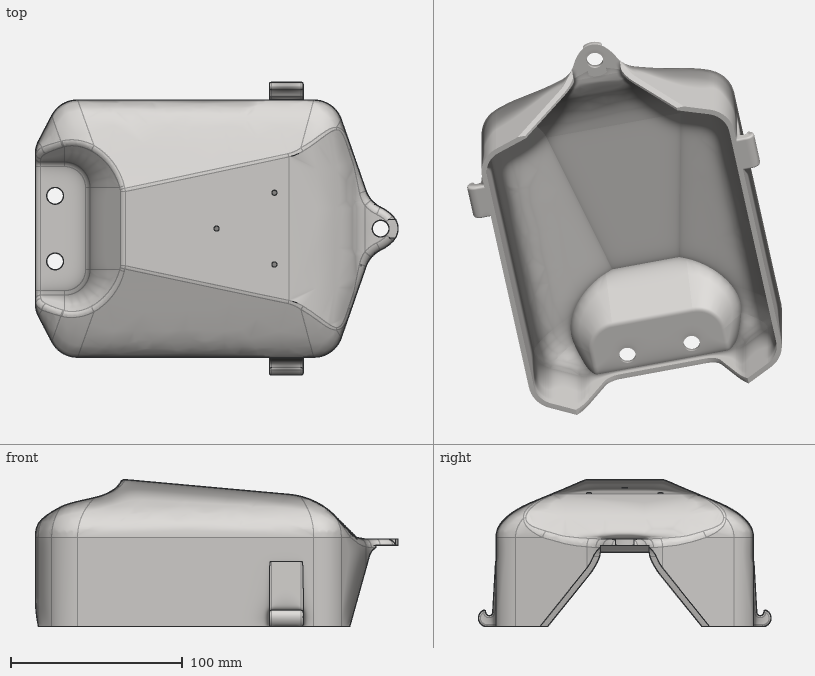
import cadquery as cq
import math


wall = 3.0
half_width = 75.0
shoulder_z = 52.0
corner_radius = 17.0
rear_radius_loss = 0.25
front_edge_radius = 15.0
apex_half = 4.0
front_flat_half = 47.5
front_slope = 0.52
rear_corner_x = 174.3
rear_slope = 0.348
front_inset_ratio = 0.78
front_narrowing = 0.75
front_corner_miter = (math.hypot(1, front_slope) - 1) / front_slope
rear_inset_ratio = 0.75

curve_inset = 24.3
curve_rise = 22.0
slope_angle = 21.8
slope_inset = 34.0
curve_steps = 4
slope_steps = 1
wall_pull = 10.5
slope_pull = 13.0
crest_fillet = 5.0

roof_front = (51.0, 85.9)
roof_rear = (147.7, 77.2)
roof_fall = (roof_front[1] - roof_rear[1]) / (roof_rear[0] - roof_front[0])
crest_half = 31.0
rear_slope_points = [(164.5, 72.2), (174.6, 64.6), (180.0, 58.2), (184.8, 53.7)]
tab_start_x = 192.0
tab_top = 51.2
tab_bottom = 47.4

overall_length = 211.42
hole_diameter = 9.6
tab_hole_x = 201.2
tab_radius = overall_length - tab_hole_x
tab_flat_half = 5.4
cove_start_y = 22.0
cove_end = (201.0, 12.8)
nose_start = (208.5, 7.5)
nose_middle = (210.6, 4.0)

pocket_length = 31.0
pocket_half_width = 37.9
pocket_radius = 14.0
pocket_draft = 30.0
draft = math.radians(pocket_draft)
pocket_top = 88.0
pocket_overrun = 60.0
floor_fillet = 3.0
rim_fillet = 3.0
floor_hole_x = 11.5
floor_hole_y = 19.1

arch_bottom_half = 51.0
arch_top_half = 32.0
arch_top = 43.3
arch_radius = 10.0
arch_depth = 12.0
rear_gap = [(45.0, 0.0), (20.8, 30.0)]
rear_gap_curve = [(15.8, 38.0), (14.2, 44.0)]
rear_gap_start_x = 165.0
underside = [(183.2, 0.0), (194.6, 41.0)]
underside_end_x = 202.0

screw_diameter = 3.0
screw_depth = 2.0
screw_places = [(105.6, 0.0), (139.3, 20.9), (139.3, -20.9)]

hook_start_x = 136.3
hook_width = 19.8
hook_reach = 85.3
hook_pad_top = 38.0
hook_edge_fillet = 1.2
hook_root_depth = 0.9 * wall
hook_radius = 5.0
lip_radius = 1.0
lip_start_angle = math.radians(115)
groove = (-79.0, 8.5)
pad_top_thickness = 0.3

blank = 400.0


def rear_wall_x(y):
    return rear_corner_x + (half_width - y) * rear_slope


def unit(start, end):
    length = math.dist(start, end)
    return ((end[0] - start[0]) / length, (end[1] - start[1]) / length)


def on_circle(center, radius, angle):
    return (center[0] + radius * math.cos(angle), center[1] + radius * math.sin(angle))


def rounded_corner(before, corner, after, radius):
    """Start, middle and end of the arc that rounds a convex corner."""
    back = unit(corner, before)
    ahead = unit(corner, after)
    half_angle = math.acos(back[0] * ahead[0] + back[1] * ahead[1]) / 2
    tangent = radius / math.tan(half_angle)
    to_arc = radius / math.sin(half_angle) - radius
    inwards = unit((0, 0), (back[0] + ahead[0], back[1] + ahead[1]))
    return [
        (corner[0] + back[0] * tangent, corner[1] + back[1] * tangent),
        (corner[0] + inwards[0] * to_arc, corner[1] + inwards[1] * to_arc),
        (corner[0] + ahead[0] * tangent, corner[1] + ahead[1] * tangent),
    ]


def outline(inset, z, clearance=0.0):
    """Closed plan outline of the body at height z, drawn in by inset and clearance."""
    width = half_width - inset - clearance
    narrowing = front_narrowing * inset + clearance * front_corner_miter
    front_y = front_flat_half - narrowing
    oblique_shift = (front_inset_ratio * inset + clearance) * math.hypot(1, front_slope)
    front_x = oblique_shift - narrowing * front_slope
    front_end_x = oblique_shift + (width - front_flat_half) * front_slope
    rear_shift = (rear_inset_ratio * inset + clearance) * math.hypot(1, rear_slope)
    rear_start_x = rear_wall_x(width) - rear_shift
    rear_radius = corner_radius - clearance - rear_radius_loss * inset
    apex_x = rear_wall_x(apex_half) - rear_shift

    front = (front_x, front_y)
    front_end = (front_end_x, width)
    rear_start = (rear_start_x, width)
    apex = (apex_x, apex_half)
    arcs = [
        rounded_corner((front_x, 0), front, front_end, front_edge_radius - clearance),
        rounded_corner(front, front_end, rear_start, corner_radius - clearance),
        rounded_corner(front_end, rear_start, apex, rear_radius),
    ]
    mirrored_arcs = [[(x, -y) for x, y in reversed(arc)] for arc in reversed(arcs)]

    path = cq.Workplane("XY", origin=(0, 0, z)).moveTo(front_x, 0)
    for start, middle, end in arcs:
        path = path.lineTo(*start).threePointArc(middle, end)
    path = path.lineTo(*apex).lineTo(apex_x, -apex_half)
    for start, middle, end in mirrored_arcs:
        path = path.lineTo(*start).threePointArc(middle, end)
    return path.close()


def dome_profile():
    """Pairs of inset and rise from the shoulder up to the top of the dome."""
    tilt = math.radians(slope_angle)
    handle = (
        curve_inset - slope_pull * math.cos(tilt),
        curve_rise - slope_pull * math.sin(tilt),
    )
    profile = []
    for step in range(curve_steps + 1):
        t = step / curve_steps
        s = 1 - t
        inset = 3 * s * t * t * handle[0] + t**3 * curve_inset
        rise = 3 * s * s * t * wall_pull + 3 * s * t * t * handle[1] + t**3 * curve_rise
        profile.append((inset, rise))
    for step in range(1, slope_steps + 1):
        run = slope_inset * step / slope_steps
        profile.append((curve_inset + run, curve_rise + run * math.tan(tilt)))
    return profile


def dome(base_z, clearance=0.0):
    wires = [
        outline(inset, base_z + rise, clearance).wire().val()
        for inset, rise in dome_profile()
    ]
    return cq.Workplane(cq.Solid.makeLoft(wires))


def below_roof():
    """Everything under the sloped roof, the rear slope and the tab."""
    start_x = -10.0
    base_z = -10.0
    start_z = roof_front[1] - (start_x - roof_front[0]) * roof_fall
    return (
        cq.Workplane("XZ", origin=(0, blank / 2, 0))
        .moveTo(start_x, base_z)
        .lineTo(start_x, start_z)
        .lineTo(*roof_rear)
        .spline(
            rear_slope_points + [(tab_start_x, tab_top)],
            tangents=[(1, -roof_fall), (1, 0)],
            includeCurrent=True,
        )
        .lineTo(blank, tab_top)
        .lineTo(blank, base_z)
        .close()
        .extrude(blank)
    )


def tab():
    """Rear tongue around the hanging hole, coved into the oblique rear walls."""
    cove_start = (rear_wall_x(cove_start_y), cove_start_y)
    inner_x = 170.0
    root_y = 40.0
    half = (
        cq.Workplane("XY")
        .moveTo(inner_x, 0)
        .lineTo(inner_x, root_y)
        .lineTo(rear_wall_x(root_y), root_y)
        .lineTo(*cove_start)
        .tangentArcPoint(cove_end, relative=False)
        .tangentArcPoint(nose_start, relative=False)
        .threePointArc(nose_middle, (overall_length, 0))
        .close()
        .extrude(shoulder_z)
    )
    return half.union(half.mirror("XZ"))


def tab_flat():
    """Full-thickness strip around the hanging hole that keeps a square nose."""
    thickness = tab_top - tab_bottom
    base = cq.Workplane("XY", origin=(tab_hole_x, 0, tab_bottom))
    disc = base.circle(tab_radius).extrude(thickness)
    strip = base.rect(2 * tab_radius, 2 * tab_flat_half).extrude(thickness)
    return disc.intersect(strip)


def pocket(grow=0.0, floor_z=shoulder_z):
    """Drafted pocket, open at the front, widening upwards from a rounded floor edge."""
    length = pocket_length + grow + pocket_overrun
    width = 2 * (pocket_half_width + grow)
    plan = (
        cq.Sketch()
        .push([(pocket_length + grow - length / 2, 0)])
        .rect(length, width)
        .reset()
        .vertices()
        .fillet(pocket_radius + grow)
    )
    return (
        cq.Workplane("XY", origin=(0, 0, floor_z))
        .placeSketch(plan)
        .extrude(pocket_top - floor_z, taper=-pocket_draft)
        .faces("<Z")
        .edges()
        .fillet(floor_fillet)
    )


def cavity():
    """Hollow under the shell, keeping a wall below the roof and around the pocket."""
    inner_roof = below_roof().translate((-wall / 2, 0, -wall))
    floor_grow = wall / math.cos(draft) - wall * math.tan(draft)
    inner_shoulder = shoulder_z - wall
    return (
        outline(0, 0, wall)
        .extrude(inner_shoulder)
        .union(dome(inner_shoulder, wall))
        .intersect(inner_roof)
        .cut(pocket(floor_grow, inner_shoulder))
    )


def front_arch():
    """Opening through the front wall, with rounded upper corners."""
    return (
        cq.Workplane("YZ", origin=(-1, 0, 0))
        .polyline(
            [
                (-arch_bottom_half, 0),
                (-arch_top_half, arch_top),
                (arch_top_half, arch_top),
                (arch_bottom_half, 0),
            ]
        )
        .close()
        .extrude(arch_depth)
        .edges("|X and >Z")
        .fillet(arch_radius)
    )


def rear_opening():
    """Opening through the rear walls that also clears the underside of the tab."""
    bottom, bend = rear_gap
    bend_slope = (bend[0] - bottom[0], bend[1] - bottom[1])
    wide = 60.0
    half_profile = (
        cq.Workplane("YZ", origin=(rear_gap_start_x, 0, 0))
        .lineTo(*bottom)
        .lineTo(*bend)
        .spline(rear_gap_curve, tangents=[bend_slope, (0, 1)], includeCurrent=True)
        .lineTo(rear_gap_curve[-1][0], tab_bottom)
        .lineTo(0, tab_bottom)
        .close()
        .extrude(wide)
    )
    below_tab = (
        cq.Workplane("XZ", origin=(0, wide, 0))
        .moveTo(*underside[0])
        .lineTo(*underside[1])
        .tangentArcPoint((underside_end_x, tab_bottom), relative=False)
        .lineTo(blank, tab_bottom)
        .lineTo(blank, underside[0][1])
        .close()
        .extrude(2 * wide)
    )
    return half_profile.union(half_profile.mirror("XZ")).union(below_tab)


def hook():
    """Side hook on the -Y wall: a thin tapered pad ending in an upturned lip."""
    root_y = half_width - hook_root_depth
    heel = (hook_radius - hook_reach, hook_radius)
    pad_top = (-half_width - pad_top_thickness, hook_pad_top)
    lip_start = on_circle(heel, hook_radius, lip_start_angle)
    lip = on_circle(heel, hook_radius - lip_radius, lip_start_angle)
    groove_radius = math.dist(groove, lip) - lip_radius
    lip_end_angle = math.atan2(groove[1] - lip[1], groove[0] - lip[0])
    lip_middle = on_circle(lip, lip_radius, (lip_start_angle + lip_end_angle) / 2)
    lip_end = on_circle(lip, lip_radius, lip_end_angle)
    pad_angle = math.atan2(
        pad_top[0] - groove[0] - groove_radius, pad_top[1] - groove[1]
    )
    groove_end = on_circle(groove, groove_radius, -pad_angle)
    return (
        cq.Workplane("YZ", origin=(hook_start_x, 0, 0))
        .moveTo(-root_y, 0)
        .lineTo(heel[0], 0)
        .threePointArc((-hook_reach, hook_radius), lip_start)
        .threePointArc(lip_middle, lip_end)
        .threePointArc((groove[0], groove[1] - groove_radius), groove_end)
        .lineTo(*pad_top)
        .lineTo(-root_y, hook_pad_top)
        .close()
        .extrude(hook_width)
        .faces("<X or >X")
        .edges("not >Y")
        .fillet(hook_edge_fillet)
    )


def fillet_chain(body, points, radius):
    """Fillet the smooth edge chains that pass closest to the points."""
    chosen = [body.edges(cq.selectors.NearestToPointSelector(p)).val() for p in points]
    return body.newObject(chosen).fillet(radius)


def outer_block():
    """Solid outside shape with its crest rounded and the pocket cut in."""
    block = outline(0, 0).extrude(shoulder_z).union(dome(shoulder_z)).union(tab())
    block = block.intersect(below_roof())
    crest = ((roof_front[0] + roof_rear[0]) / 2, (roof_front[1] + roof_rear[1]) / 2)
    crest_points = [(crest[0], side * crest_half, crest[1]) for side in (1, -1)]
    block = fillet_chain(block, crest_points, crest_fillet).cut(pocket())
    rim_points = [(0, 0, shoulder_z), (roof_front[0], 0, roof_front[1])]
    return fillet_chain(block, rim_points, rim_fillet)


def round_holes(places, diameter, bottom_z, height):
    return (
        cq.Workplane("XY", origin=(0, 0, bottom_z))
        .pushPoints(places)
        .circle(diameter / 2)
        .extrude(height)
    )


def screw_holes():
    """Blind holes, measured down from the sloping roof."""
    holes = cq.Workplane("XY")
    for x, y in screw_places:
        roof_z = roof_front[1] - (x - roof_front[0]) * roof_fall
        holes = holes.add(round_holes([(x, y)], screw_diameter, roof_z - screw_depth, wall))
    return holes.combine()


through_places = [
    (floor_hole_x, floor_hole_y),
    (floor_hole_x, -floor_hole_y),
    (tab_hole_x, 0),
]
side_hook = hook()

result = (
    outer_block()
    .cut(cavity())
    .cut(front_arch())
    .cut(rear_opening())
    .union(tab_flat())
    .cut(round_holes(through_places, hole_diameter, arch_top, shoulder_z))
    .cut(screw_holes())
    .union(side_hook)
    .union(side_hook.mirror("XZ"))
)